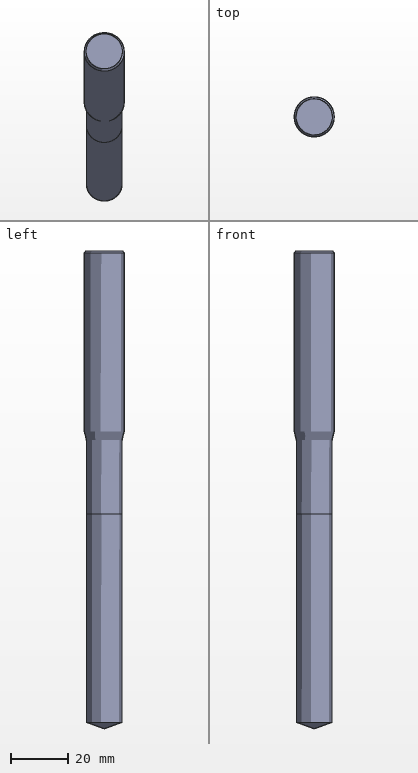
import cadquery as cq
import math

total_length = 167.0
shank_diameter = 14.0
neck_diameter = 12.5
head_diameter = neck_diameter

joint_height = 75.2
neck_top_height = 100.9
shank_bottom_height = 103.9

end_chamfer = 0.7
point_angle = 140.0

shank_radius = shank_diameter / 2
neck_radius = neck_diameter / 2
head_radius = head_diameter / 2
point_height = head_radius / math.tan(math.radians(point_angle / 2))


def revolve_profile(points):
    """Turn a closed (radius, height) outline about the Z axis."""
    return cq.Workplane("XZ").polyline(points).close().revolve(360, (0, 0), (0, 1))


def make_shank():
    """Chamfered shank that tapers down to a slimmer neck."""
    return revolve_profile([
        (0, joint_height),
        (neck_radius, joint_height),
        (neck_radius, neck_top_height),
        (shank_radius, shank_bottom_height),
        (shank_radius, total_length - end_chamfer),
        (shank_radius - end_chamfer, total_length),
        (0, total_length),
    ])


def make_head():
    """Round cutting head with a conical point, butted against the neck."""
    return revolve_profile([
        (0, 0),
        (head_radius, point_height),
        (head_radius, joint_height),
        (0, joint_height),
    ])


shank = make_shank()
head = make_head()

result = cq.Compound.makeCompound([shank.val(), head.val()])